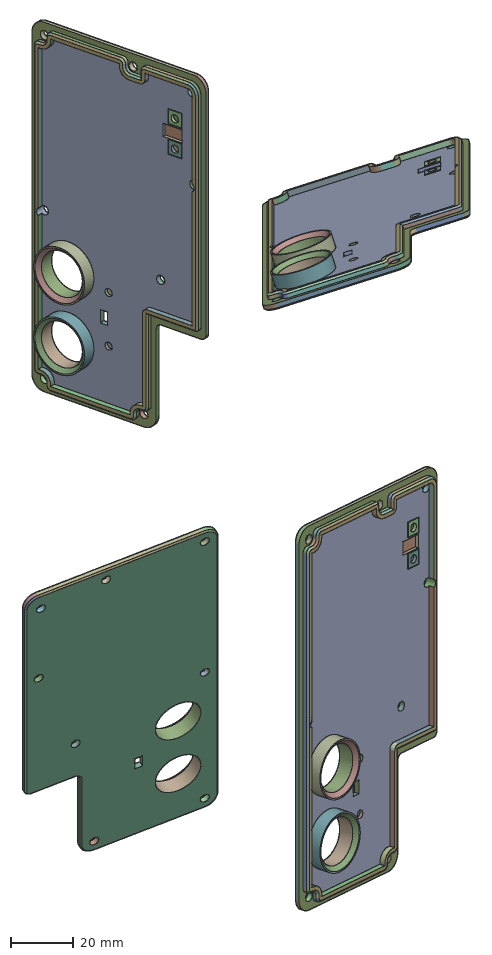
import cadquery as cq

plate_width = 70.0
plate_height = 135.0
step_x = 50.1
step_z = 39.4
flange_thickness = 2.0
corner_radius = 5.0
step_radius = 2.0
back_chamfer = 0.5

lip_front = 4.0
lip_inset = 2.0
lip_wall = 2.0
lip_chamfer = 0.7
lip_step_inset = 3.1
lip_end_radius = 1.9
lip_top_right_radius = 4.0
lip_step_radius = 1.0
lip_right_top_inset = 2.3

screw_diameter = 3.2
screw_inset_x = 5.0
screw_inset_z = 4.7
screw_clearance = 2.0
middle_screw_x = 40.8
middle_relief_right = 45.0
top_screw_z = plate_height - screw_inset_z
outer_screws = [
    (screw_inset_x, top_screw_z),
    (middle_screw_x, top_screw_z),
    (screw_inset_x, screw_inset_z),
    (step_x - screw_inset_x, screw_inset_z),
]
inner_screws = [(64.4, 128.5), (65.2, 94.9), (5.0, 66.3), (51.8, 55.9)]

tube_centers = [(14.7, 47.7), (14.7, 21.9)]
tube_front = 7.0
tube_diameter = 20.5
tube_bore = 16.5
flare_width = 1.5

blind_diameter = 2.8
blind_depth = 1.2
blind_centers = [(30.9, 44.5), (30.9, 25.0)]
slot_left, slot_right = 27.5, 30.4
slot_bottom, slot_top = 32.4, 37.3

pad_size = 5.4
pad_rise = 0.3
pad_centers = [(57.8, 116.8), (57.8, 105.7)]
pocket_left, pocket_right = 52.8, 60.5
pocket_bottom, pocket_top = 108.7, 113.4
pocket_depth = 1.2


def front_plane(depth):
    """X-Z sketch plane at Y = -depth; extrusions run toward -Y."""
    return cq.Workplane("XZ", origin=(0, -depth, 0))


def block(left, bottom, right, top, back, front):
    """Box between two X-Z corners, from Y = -back to Y = -front."""
    width, height = right - left, top - bottom
    plane = front_plane(back).center(left + width / 2, bottom + height / 2)
    return plane.rect(width, height).extrude(front - back)


def cylinders(centers, diameter, back, front):
    return front_plane(back).pushPoints(centers).circle(diameter / 2).extrude(front - back)


def round_corner(solid, x, z, radius):
    """Round the edge parallel to Y that passes through (x, z)."""
    reach = 0.01
    depth = tube_front
    around_edge = cq.selectors.BoxSelector((x - reach, -depth, z - reach), (x + reach, depth, z + reach))
    return solid.edges("|Y").edges(around_edge).fillet(radius)


def make_flange():
    plate = block(0, 0, plate_width, plate_height, 0, flange_thickness)
    plate = plate.cut(block(step_x, 0, plate_width, step_z, 0, flange_thickness))
    for x, z in [(0, 0), (0, plate_height), (plate_width, plate_height), (step_x, 0)]:
        plate = round_corner(plate, x, z, corner_radius)
    for x in (step_x, plate_width):
        plate = round_corner(plate, x, step_z, step_radius)
    return plate.faces(">Y").chamfer(back_chamfer)


def lip_body(inward):
    """Solid inside the lip outline moved inward, from the flange to the front of the lip.

    Corners that bulge out get sharper as the outline moves inward, and hollow ones rounder.
    """
    left = bottom = lip_inset + inward
    right = plate_width - left
    top = plate_height - left
    step_left = step_x - left
    step_top = step_z + lip_step_inset + inward
    right_top = plate_height - lip_right_top_inset - inward

    reach = screw_clearance + inward
    relief_x = screw_inset_x + reach
    relief_z = screw_inset_z + reach
    relief_top = plate_height - relief_z
    middle_left = middle_screw_x - reach
    middle_right = middle_relief_right + inward
    step_relief_left = step_x - relief_x

    body = block(left, bottom, right, top, flange_thickness, lip_front)
    for notch in [
        (step_left, 0, plate_width, step_top),
        (0, 0, relief_x, relief_z),
        (step_relief_left, 0, step_x, relief_z),
        (0, relief_top, relief_x, plate_height),
        (middle_left, relief_top, middle_right, plate_height),
        (middle_right, right_top, plate_width, plate_height),
    ]:
        body = body.cut(block(*notch, flange_thickness, lip_front))

    rounded = [
        (relief_x, relief_z, reach),
        (step_relief_left, relief_z, reach),
        (relief_x, relief_top, reach),
        (middle_left, relief_top, reach),
        (middle_right, relief_top, inward),
        (step_left, step_top, inward),
        (right, right_top, lip_top_right_radius - inward),
        (right, step_top, lip_step_radius - inward),
    ]
    lip_ends = [
        (left, relief_z),
        (relief_x, bottom),
        (step_relief_left, bottom),
        (step_left, relief_z),
        (left, relief_top),
        (relief_x, top),
        (middle_left, top),
        (middle_right, right_top),
    ]
    rounded += [(x, z, lip_end_radius - inward) for x, z in lip_ends]
    for x, z, radius in rounded:
        if radius > 0:
            body = round_corner(body, x, z, radius)
    return body


def make_tray():
    """Flange with the lip as a thin wall on its front."""
    lip = lip_body(0).faces("<Y").chamfer(lip_chamfer)
    return make_flange().union(lip.cut(lip_body(lip_wall)))


def add_tubes(part):
    tubes = cylinders(tube_centers, tube_diameter, 0, tube_front)
    bores = cylinders(tube_centers, tube_bore, 0, tube_front)
    part = part.union(tubes).cut(bores)
    bore_rims = part.faces("<Y").edges(cq.selectors.RadiusNthSelector(0))
    return bore_rims.chamfer(flare_width)


def add_pads(part):
    pad_front = flange_thickness + pad_rise
    pads = front_plane(0).pushPoints(pad_centers).rect(pad_size, pad_size).extrude(pad_front)
    pocket_floor = flange_thickness - pocket_depth
    pocket = block(pocket_left, pocket_bottom, pocket_right, pocket_top, pocket_floor, flange_thickness)
    part = part.union(pads).cut(pocket)
    return part.cut(cylinders(pad_centers, blind_diameter, pad_front - blind_depth, pad_front))


def cut_holes(part):
    part = part.cut(cylinders(outer_screws + inner_screws, screw_diameter, 0, lip_front))
    part = part.cut(block(slot_left, slot_bottom, slot_right, slot_top, 0, flange_thickness))
    return part.cut(cylinders(blind_centers, blind_diameter, flange_thickness - blind_depth, flange_thickness))


result = cut_holes(add_pads(add_tubes(make_tray())))